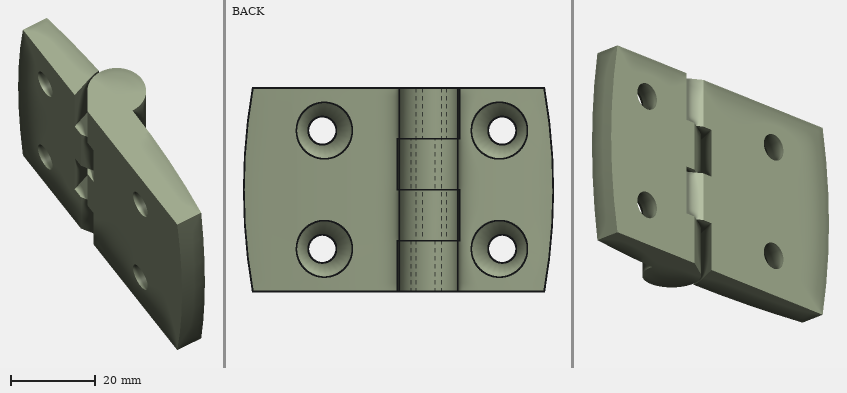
import cadquery as cq
import math

LENGTH = 73.0
HEIGHT = 48.0
END_BULGE = 2.1
EDGE_THICKNESS = 6.35
CROWN_THICKNESS = 9.1

AXIS_X = -7.1
AXIS_Y = 9.05
BARREL_RADIUS = 6.9
PIN_DIAMETER = 6.0
KNUCKLE_COUNT = 4
KNUCKLE_HEIGHT = HEIGHT / KNUCKLE_COUNT
TOE_REACH = 1.45
RECESS_FOOT = 4.2
CLEARANCE_RADIUS = 7.4

HOLE_DIAMETER = 6.6
LEFT_HOLE_OFFSET = 17.4
RIGHT_HOLE_OFFSET = 25.0
COUNTERSINK_DIAMETER = 13.3
COUNTERSINK_ANGLE = 90.0
CONE_OVERSHOOT = 1.45
HOLE_SPACING_Z = 27.9

LEFT = -1
RIGHT = 1


def extrude_along_z(profile, bottom, height):
    """Extrude a closed XY profile upward from the given Z level."""
    return profile.extrude(height).translate((0, 0, bottom))


def crowned_plate():
    """Plate for both leaves, with a domed back and bowed ends."""
    half_length = LENGTH / 2
    corner_x = half_length - END_BULGE
    corner_z = HEIGHT / 2
    crown = (
        cq.Workplane("XY")
        .moveTo(-half_length, 0)
        .lineTo(half_length, 0)
        .lineTo(half_length, EDGE_THICKNESS)
        .threePointArc((0, CROWN_THICKNESS), (-half_length, EDGE_THICKNESS))
        .close()
    )
    outline = (
        cq.Workplane("XZ")
        .moveTo(-corner_x, -corner_z)
        .lineTo(corner_x, -corner_z)
        .threePointArc((half_length, 0), (corner_x, corner_z))
        .lineTo(-corner_x, corner_z)
        .threePointArc((-half_length, 0), (-corner_x, -corner_z))
        .close()
        .extrude(-CROWN_THICKNESS)
    )
    return extrude_along_z(crown, -HEIGHT / 2, HEIGHT).intersect(outline)


def tangent_point(foot, radius, turn):
    """Where a line from the mounting face touches a circle about the hinge axis.

    The line starts at X offset foot from the axis; turn (+1 or -1) picks the side it passes the axis.
    The point is given as X and Y offsets from the axis, for a leaf on the +X side.
    """
    distance_squared = foot**2 + AXIS_Y**2
    tangent_length = math.sqrt(distance_squared - radius**2)
    along = radius**2 / distance_squared
    across = turn * radius * tangent_length / distance_squared
    return foot * along + AXIS_Y * across, foot * across - AXIS_Y * along


def knuckle_layer(side, bottom):
    """Barrel joined to its leaf, with a flat foot face tangent to the barrel."""
    touch_x, touch_y = tangent_point(TOE_REACH, BARREL_RADIUS, -1)
    web = cq.Workplane("XY").polyline([
        (AXIS_X, CROWN_THICKNESS),
        (AXIS_X + side * touch_x, AXIS_Y + touch_y),
        (AXIS_X + side * TOE_REACH, 0),
        (side * LENGTH, 0),
        (side * LENGTH, CROWN_THICKNESS),
    ]).close()
    barrel = cq.Workplane("XY").center(AXIS_X, AXIS_Y).circle(BARREL_RADIUS)
    web_in_plate = extrude_along_z(web, bottom, KNUCKLE_HEIGHT).intersect(crowned_plate())
    return web_in_plate.union(extrude_along_z(barrel, bottom, KNUCKLE_HEIGHT))


def recess_layer(side, bottom):
    """Leaf set back to clear the other leaf's barrel: a sloping wall running into a concentric arc."""
    touch_x, touch_y = tangent_point(RECESS_FOOT, CLEARANCE_RADIUS, 1)
    block = cq.Workplane("XY").polyline([
        (AXIS_X + side * touch_x, CROWN_THICKNESS),
        (AXIS_X + side * touch_x, AXIS_Y + touch_y),
        (AXIS_X + side * RECESS_FOOT, 0),
        (side * LENGTH, 0),
        (side * LENGTH, CROWN_THICKNESS),
    ]).close()
    clearance = cq.Workplane("XY").center(AXIS_X, AXIS_Y).circle(CLEARANCE_RADIUS)
    return (
        extrude_along_z(block, bottom, KNUCKLE_HEIGHT)
        .intersect(crowned_plate())
        .cut(extrude_along_z(clearance, bottom, KNUCKLE_HEIGHT))
    )


def pin_cylinder():
    return (
        cq.Workplane("XY", origin=(AXIS_X, AXIS_Y, -HEIGHT / 2))
        .circle(PIN_DIAMETER / 2)
        .extrude(HEIGHT)
    )


def crown_height(x):
    """Height of the domed back at X, from the arc through its two ends and its middle."""
    rise = CROWN_THICKNESS - EDGE_THICKNESS
    radius = ((LENGTH / 2)**2 + rise**2) / (2 * rise)
    return CROWN_THICKNESS - radius + math.sqrt(radius**2 - x**2)


def countersunk_hole(x, z):
    """Through hole whose cone has the countersink diameter at the domed back over the hole centre."""
    hole_radius = HOLE_DIAMETER / 2
    sink_radius = COUNTERSINK_DIAMETER / 2
    rim_y = crown_height(x)
    cone_slope = 1 / math.tan(math.radians(COUNTERSINK_ANGLE / 2))
    cone_bottom = rim_y - (sink_radius - hole_radius) * cone_slope
    cone_top = rim_y + CONE_OVERSHOOT
    top_radius = sink_radius + CONE_OVERSHOOT / cone_slope
    half_section = cq.Workplane("XY").polyline([
        (0, 0),
        (hole_radius, 0),
        (hole_radius, cone_bottom),
        (top_radius, cone_top),
        (0, cone_top),
    ]).close()
    return half_section.revolve(360, (0, 0), (0, 1)).translate((x, 0, z))


def leaf(side, first_knuckle, hole_offset):
    """One hinge leaf: its knuckles alternate with recesses for the other leaf's knuckles."""
    body = cq.Workplane("XY")
    for index in range(KNUCKLE_COUNT):
        bottom = -HEIGHT / 2 + index * KNUCKLE_HEIGHT
        has_knuckle = index % 2 == first_knuckle
        layer = knuckle_layer(side, bottom) if has_knuckle else recess_layer(side, bottom)
        body = body.union(layer)
    for hole_z in (-HOLE_SPACING_Z / 2, HOLE_SPACING_Z / 2):
        body = body.cut(countersunk_hole(AXIS_X + side * hole_offset, hole_z))
    return body.cut(pin_cylinder())


left_leaf = leaf(LEFT, 0, LEFT_HOLE_OFFSET)
right_leaf = leaf(RIGHT, 1, RIGHT_HOLE_OFFSET)
pin = pin_cylinder()

result = cq.Compound.makeCompound([left_leaf.val(), right_leaf.val(), pin.val()])